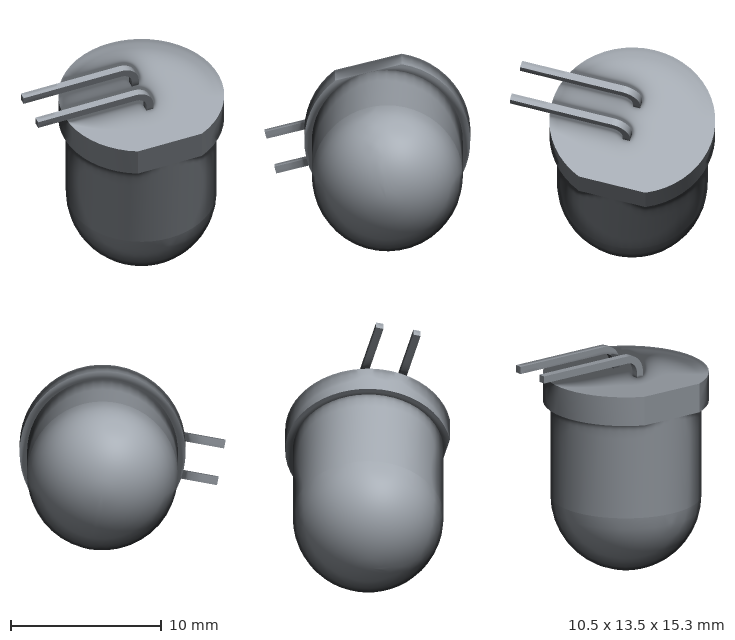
import cadquery as cq

body_radius = 5.0
body_height = 6.6
flange_radius = 5.5
flange_height = 2.0
flat_x = body_radius

lead_width = 0.5
lead_pitch = 2.54
lead_rise = 0.4
bend_inner_radius = 0.75
bend_outer_radius = bend_inner_radius + lead_width
lead_tip_y = -8.0

flange_bottom_z = -flange_height
dome_center_z = flange_bottom_z - body_height


def make_flange():
    """Disc with its +X side cut flat."""
    disc = cq.Workplane("XY").workplane(offset=flange_bottom_z).circle(flange_radius).extrude(flange_height)
    keep_length = flange_radius + flat_x
    keep = (
        cq.Workplane("XY")
        .box(keep_length, 2 * flange_radius, flange_height, centered=(False, True, False))
        .translate((-flange_radius, 0, flange_bottom_z))
    )
    return disc.intersect(keep)


def make_body():
    """Cylinder closed by a hemispherical dome, revolved about Z."""
    return (
        cq.Workplane("XZ")
        .moveTo(0, flange_bottom_z)
        .lineTo(body_radius, flange_bottom_z)
        .lineTo(body_radius, dome_center_z)
        .radiusArc((0, dome_center_z - body_radius), body_radius)
        .close()
        .revolve(360, (0, 0), (0, 1))
    )


def make_lead(center_x):
    """Square wire that rises from the flange and bends toward -Y."""
    section = cq.Workplane("XY").center(center_x, 0).rect(lead_width, lead_width)
    bend_radius = (bend_inner_radius + bend_outer_radius) / 2
    path = (
        cq.Workplane("YZ")
        .lineTo(0, lead_rise)
        .radiusArc((-bend_radius, lead_rise + bend_radius), -bend_radius)
        .lineTo(lead_tip_y, lead_rise + bend_radius)
        .translate((center_x, 0, 0))
    )
    return section.sweep(path)


result = make_flange().union(make_body())
for side in (-1, 1):
    result = result.union(make_lead(side * lead_pitch / 2))